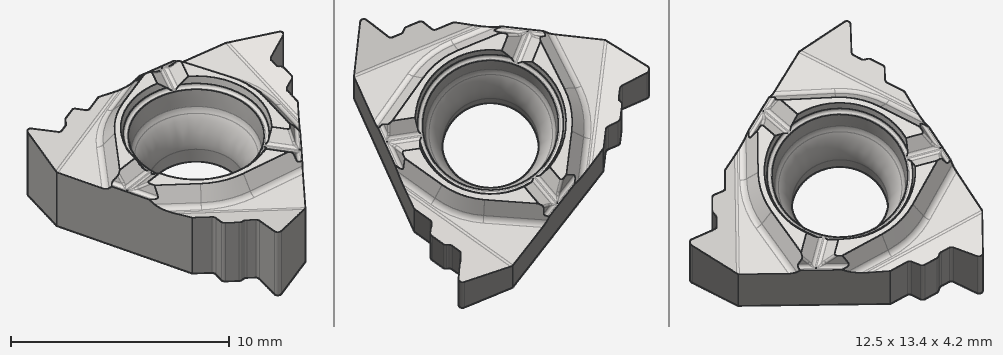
import cadquery as cq
import math


teeth = 3
flat_distance = 4.76
tooth_reach = 6.89
total_height = 4.2
floor_height = 3.37
ledge_height = 3.69

tip_radius = 0.19
corner_radius = 0.2
tip_half_angle = math.radians(30)
tip_x = -3.4
valley_x, valley_y = -2.54, 5.65
crest_y = 5.84
shoulder_y = 5.24
step_start_x = -1.94
step_end_x = -1.74
crest_end_x = -0.91
sharp_corners = ("heel", "shoulder_end")

crease_y = 4.73
crease_half_width = 0.07
tooth_tip_height = 3.97
ramp_left, ramp_right, ramp_far_y = -6.02, 2.67, 8.02

boss_top_distance = 3.73
boss_base_distance = 4.39
boss_base_fillet = 0.4
boss_arc_start, boss_arc_end = -30, 2.3

notch_foot_width = 0.23
notch_radius = 0.21
notch_top_width = 0.48
notch_start_y, notch_end_y = -1.07, 2.67

slot_top_half_width = 0.75
slot_floor_half_width = 0.13
slot_radius = 0.28
slot_mouth_radius = 0.13
slot_mouth_half_width = 0.6
slot_angle = 165.6
slot_inner, slot_outer = 2.67, 5.62

hole_radius = 4.4 / 2
throat_height = 0.8
seat_arc_radius = 2.54
seat_top_radius = 2.82
bore_bottom_radius = 2.98
bore_bottom_height = 2.74
bore_top_radius = 3.1
rim_bottom_radius = 3.33
rim_bottom_height = 3.85
rim_top_radius = 3.45

plate_radius = 2 * tooth_reach
clearance = 0.67
tolerance = 0.001


def rotated(point, degrees):
    """Turn an XY point about the axis."""
    angle = math.radians(degrees)
    x, y = point
    return (
        x * math.cos(angle) - y * math.sin(angle),
        x * math.sin(angle) + y * math.cos(angle),
    )


def three_times(shape):
    """Join copies of a shape spaced evenly about the axis."""
    copies = shape
    for i in range(1, teeth):
        copies = copies.union(shape.rotate((0, 0, 0), (0, 0, 1), i * 360 / teeth))
    return copies


def tooth_corners():
    """Sharp outline corners of the tooth pointing to +Y, listed clockwise."""
    tip_y = tooth_reach + tip_radius * (1 / math.sin(tip_half_angle) - 1)
    spread = math.tan(tip_half_angle)
    heel = (-flat_distance, tip_y - (tip_x + flat_distance) / spread)
    shoulder_start_x = crest_end_x + (crest_y - shoulder_y) * spread
    flat_direction = math.radians(180 - 360 / teeth)
    shoulder_end_x = (flat_distance - shoulder_y * math.sin(flat_direction)) / math.cos(flat_direction)
    return {
        "heel": heel,
        "tip": (tip_x, tip_y),
        "valley": (valley_x, valley_y),
        "step_start": (step_start_x, valley_y),
        "step_end": (step_end_x, crest_y),
        "crest_end": (crest_end_x, crest_y),
        "shoulder_start": (shoulder_start_x, shoulder_y),
        "shoulder_end": (shoulder_end_x, shoulder_y),
    }


def round_corners(body, corner, radius):
    """Round the vertical edge at one tooth corner and at its two copies."""
    places = [rotated(corner, i * 360 / teeth) for i in range(teeth)]

    def at_corner(edge):
        middle = edge.Center()
        return any(math.hypot(middle.x - x, middle.y - y) < tolerance for x, y in places)

    return body.edges("|Z").filter(at_corner).fillet(radius)


def toothed_prism():
    """Full-height body with the three toothed corners."""
    corners = tooth_corners()
    outline = []
    for i in range(teeth):
        outline += [rotated(point, -i * 360 / teeth) for point in corners.values()]
    body = cq.Workplane("XY").polyline(outline).close().extrude(total_height)
    for name, corner in corners.items():
        if name not in sharp_corners:
            radius = tip_radius if name == "tip" else corner_radius
            body = round_corners(body, corner, radius)
    return body


def boss_on_floor():
    """Floor plate with the tapered boss: three arcs joined by straight sides to three corners."""
    turn = 360 / teeth
    arc_middle = (boss_arc_start + boss_arc_end) / 2
    corner_angle = (boss_arc_end + boss_arc_start + turn) / 2
    corner_distance = boss_base_distance / math.cos(math.radians(corner_angle - boss_arc_end))
    side, corner = (boss_base_distance, 0), (corner_distance, 0)
    outline = cq.Workplane("XY", origin=(0, 0, floor_height)).moveTo(*rotated(side, boss_arc_start))
    for i in range(teeth):
        middle = rotated(side, arc_middle + i * turn)
        arc_end = rotated(side, boss_arc_end + i * turn)
        outline = outline.threePointArc(middle, arc_end).lineTo(*rotated(corner, corner_angle + i * turn))
        if i < teeth - 1:
            outline = outline.lineTo(*rotated(side, boss_arc_start + (i + 1) * turn))
    boss_height = total_height - floor_height
    taper = math.degrees(math.atan2(boss_base_distance - boss_top_distance, boss_height))
    boss = outline.close().extrude(boss_height, taper=taper)

    plate = cq.Workplane("XY").circle(plate_radius).extrude(floor_height)

    def at_boss_base(edge):
        box = edge.BoundingBox()
        is_plate_rim = box.xmax > plate_radius - clearance
        is_at_floor = max(abs(box.zmin - floor_height), abs(box.zmax - floor_height)) < tolerance
        return is_at_floor and not is_plate_rim

    return plate.union(boss).edges().filter(at_boss_base).fillet(boss_base_fillet)


def tooth_ramps():
    """Tooth faces that rise outward from a softened crease."""
    slope = (tooth_tip_height - floor_height) / (tooth_reach - crease_y)
    crease_end = (crease_y + crease_half_width, floor_height + crease_half_width * slope)
    ramp = (
        cq.Workplane("YZ", origin=(ramp_left, 0, 0))
        .moveTo(crease_y - 2 * crease_half_width, floor_height)
        .lineTo(crease_y - crease_half_width, floor_height)
        .tangentArcPoint(crease_end, relative=False)
        .lineTo(ramp_far_y, floor_height + (ramp_far_y - crease_y) * slope)
        .lineTo(ramp_far_y, 0)
        .lineTo(crease_y - 2 * crease_half_width, 0)
        .close()
        .extrude(ramp_right - ramp_left)
    )
    return three_times(ramp)


def notches():
    """Grooves that cut the boss back along each flat."""
    notch = (
        cq.Workplane("XZ", origin=(-flat_distance, notch_end_y, ledge_height))
        .moveTo(-clearance, 0)
        .lineTo(notch_foot_width, 0)
        .lineTo(notch_top_width, total_height - ledge_height)
        .lineTo(-clearance, total_height - ledge_height)
        .close()
        .extrude(notch_end_y - notch_start_y)
        .edges("|Y")
        .edges("<Z")
        .edges(">X")
        .fillet(notch_radius)
    )
    return three_times(notch)


def slots():
    """V slots with a narrow rounded floor, running outward from the bore."""
    slot = (
        cq.Workplane("YZ", origin=(slot_inner, 0, ledge_height))
        .moveTo(-slot_floor_half_width, 0)
        .lineTo(slot_floor_half_width, 0)
        .lineTo(slot_top_half_width, total_height - ledge_height)
        .lineTo(-slot_top_half_width, total_height - ledge_height)
        .close()
        .extrude(slot_outer - slot_inner)
        .edges("|X and <Z")
        .fillet(slot_radius)
    )
    return three_times(slot.rotate((0, 0, 0), (0, 0, 1), slot_angle))


def screw_hole():
    """Throat, curved screw seat, tapered bore and stepped rim, as one turned shape."""
    seat_angle = math.acos(1 - (seat_top_radius - hole_radius) / seat_arc_radius)

    def on_seat(angle):
        return (
            hole_radius + seat_arc_radius * (1 - math.cos(angle)),
            throat_height + seat_arc_radius * math.sin(angle),
        )

    ledge_radius = rim_bottom_height - ledge_height
    ledge_centre = rim_bottom_radius - ledge_radius
    return (
        cq.Workplane("XZ")
        .moveTo(0, 0)
        .lineTo(hole_radius, 0)
        .lineTo(hole_radius, throat_height)
        .threePointArc(on_seat(seat_angle / 2), on_seat(seat_angle))
        .tangentArcPoint((bore_bottom_radius, bore_bottom_height), relative=False)
        .lineTo(bore_top_radius, ledge_height)
        .lineTo(ledge_centre, ledge_height)
        .tangentArcPoint((rim_bottom_radius, rim_bottom_height), relative=False)
        .lineTo(rim_top_radius, total_height)
        .lineTo(0, total_height)
        .close()
        .revolve(360, (0, 0, 0), (0, 1, 0))
    )


def soften_slot_mouths(body):
    """Round the edges where the sloping slot walls run out into the notches."""

    def at_slot_mouth(edge):
        middle = edge.Center()
        if not ledge_height + slot_radius / 2 < middle.z < total_height - slot_mouth_radius / 2:
            return False
        for i in range(teeth):
            along, across = rotated((middle.x, middle.y), -slot_angle - i * 360 / teeth)
            if along > boss_top_distance and slot_floor_half_width < abs(across) < slot_mouth_half_width:
                return True
        return False

    return body.edges().filter(at_slot_mouth).fillet(slot_mouth_radius)


result = toothed_prism().intersect(boss_on_floor().union(tooth_ramps()))
result = soften_slot_mouths(result.cut(notches()).cut(slots()))
result = result.cut(screw_hole())